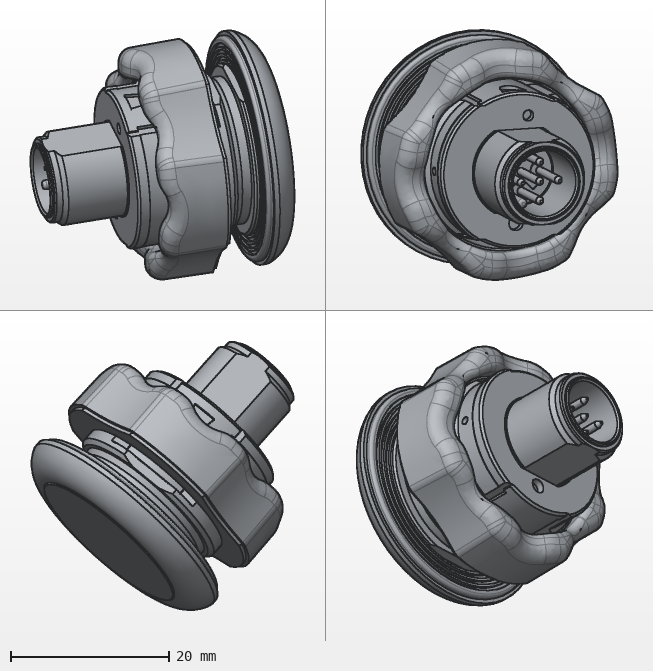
import cadquery as cq
import math


FLANGE_RADIUS = 15.0
CROWN_RADIUS = 10.7
CROWN_HEIGHT = 0.17
DOME_DEPTH = 3.05
DOME_MID_RADIUS = 13.8
DOME_MID_DEPTH = 1.2
FLANGE_DEPTH = 3.75
LOCATOR_RADIUS = 11.05
LOCATOR_DEPTH = 5.2
LOCATOR_CHAMFER = 0.3
NECK_RADIUS = 9.47
NECK_DEPTH = 6.4
NECK_FLARE_RADIUS = 9.75
COLLAR_DEPTH = 7.25
COLLAR_RADIUS = 10.92
COLLAR_CHAMFER = 0.55
THREAD_END_DEPTH = 15.5
PANEL_FLAT = 10.15
KEYWAY_DEPTH = 8.55
KEYWAY_FLAT = 8.6

BARREL_RADIUS = 10.3
BARREL_HEAD_RADIUS = 10.36
BARREL_HEAD_DEPTH = 18.8
BARREL_DEPTH = 20.35
BARREL_CHAMFER = 0.32
KEY_RADIUS = 10.05
KEY_HALF_WIDTH = 4.46
KEY_HEAD_HALF_WIDTH = 4.9

STEM_FOOT_RADIUS = 6.2
STEM_FOOT_LENGTH = 0.2
STEM_RADIUS = 6.02
STEM_FLAT = 5.3
STEM_CONE_DEPTH = 28.3
NOSE_DEPTH = 28.9
NOSE_RADIUS = 5.5
NOSE_END_DEPTH = 29.9
NOSE_CHAMFER = 0.2
TIP_RADIUS = 4.78
TIP_DEPTH = 30.3
TIP_CHAMFER = 0.18
SOCKET_RADIUS = 4.25
SOCKET_MOUTH_CHAMFER = 0.25
SOCKET_FLOOR_RADIUS = 4.16
SOCKET_FLOOR_DEPTH = 21.3
SOCKET_STEP = 0.2

PIN_RADIUS = 0.5
PIN_TIP_RADIUS = 0.2
PIN_TIP_LENGTH = 0.7
PIN_PITCH = 2.5
PIN_END_DEPTH = 29.0
CROSS_LENGTH = 5.7
CROSS_WIDTH = 1.1
CROSS_RECESS = 0.1
DIAGONAL_ANGLE = 45
CODING_RADIUS = 0.6
CODING_CENTER = 3.6
CODING_ANGLE = 225
CODING_END_DEPTH = 29.3
CODING_END_FILLET = 0.4

VENT_X, VENT_Z, VENT_RADIUS = 1.31, 6.98, 0.69
PLUG_X, PLUG_Z, PLUG_RADIUS = -0.34, -6.77, 0.95
BLIND_HOLE_LENGTH = 1.0
SIDE_HOLE_RADIUS = 0.5
SIDE_HOLE_DEPTH = 17.4
SIDE_HOLE_LENGTH = 0.8
SIDE_HOLE_TAPER = 20
ARROW_HALF_WIDTH = 1.6
ARROW_BACK_HALF_WIDTH = 1.25
ARROW_FRONT_DEPTH = 18.8
ARROW_LENGTH = 1.9
ARROW_RECESS = 0.5

SEAL_RADIUS = 14.5
SEAL_EDGE_FILLET = 0.45
SEAL_DEPTH = 4.55
SEAL_GROOVE_RADII = (11.65, 12.5, 13.35)
SEAL_GROOVE_WIDTH = 0.5
SEAL_GROOVE_HEIGHT = 0.4

NUT_RIM_DEPTH = 9.35
NUT_RIM_INSET = 0.5
NUT_BODY_DEPTH = 9.85
NUT_FRONT_DEPTH = 18.0
NUT_RADIUS = 15.0
NUT_FRONT_RADIUS = 14.85
NUT_FRONT_BORE_RADIUS = 11.2
NUT_OUTER_FILLET = 1.8
NUT_INNER_FILLET = 0.9
GRIP_ANGLE = 52
GRIP_COUNT = 4
GRIP_RADIUS = 21.0
GRIP_FLOOR = 13.5
GRIP_EDGE_FILLET = 1.5
WAVE_HALF_WIDTH = 4.2
GRIP_WAVE_HEIGHT = 0.9
RIM_WAVE_HEIGHT = 1.15
EDGE_MARGIN = 0.05


def disc(radius, start_depth, end_depth, x=0.0, z=0.0):
    """Cylinder along Y between two depths."""
    plane = cq.Workplane("XZ", origin=(x, -start_depth, z))
    return plane.circle(radius).extrude(end_depth - start_depth)


def block(half_width, half_height, start_depth, end_depth):
    """Box centred on the axis between two depths."""
    plane = cq.Workplane("XZ", origin=(0, -start_depth, 0))
    return plane.rect(2 * half_width, 2 * half_height).extrude(end_depth - start_depth)


def turned(profile):
    """Revolve an open (radius, -depth) outline that starts and ends on the axis."""
    return profile.close().revolve(360, (0, 0, 0), (0, 1, 0))


def flange_and_collar():
    collar_edge = COLLAR_RADIUS - COLLAR_CHAMFER
    thread_chamfer = COLLAR_RADIUS - BARREL_RADIUS
    dome = turned(
        cq.Workplane("XY")
        .lineTo(CROWN_RADIUS, 0)
        .lineTo(CROWN_RADIUS + CROWN_HEIGHT, -CROWN_HEIGHT)
        .threePointArc((DOME_MID_RADIUS, -DOME_MID_DEPTH), (FLANGE_RADIUS, -DOME_DEPTH))
        .lineTo(FLANGE_RADIUS, -FLANGE_DEPTH)
        .lineTo(0, -FLANGE_DEPTH)
    )
    stepped = turned(
        cq.Workplane("XY")
        .moveTo(0, -FLANGE_DEPTH)
        .lineTo(LOCATOR_RADIUS, -FLANGE_DEPTH)
        .lineTo(LOCATOR_RADIUS, LOCATOR_CHAMFER - LOCATOR_DEPTH)
        .lineTo(LOCATOR_RADIUS - LOCATOR_CHAMFER, -LOCATOR_DEPTH)
        .lineTo(NECK_RADIUS, -LOCATOR_DEPTH)
        .lineTo(NECK_RADIUS, -NECK_DEPTH)
        .lineTo(NECK_FLARE_RADIUS, -COLLAR_DEPTH)
        .lineTo(collar_edge, -COLLAR_DEPTH)
        .lineTo(COLLAR_RADIUS, -COLLAR_DEPTH - COLLAR_CHAMFER)
        .lineTo(COLLAR_RADIUS, -THREAD_END_DEPTH)
        .lineTo(BARREL_RADIUS, -THREAD_END_DEPTH - thread_chamfer)
        .lineTo(BARREL_RADIUS, -BARREL_HEAD_DEPTH)
        .lineTo(BARREL_HEAD_RADIUS, -BARREL_HEAD_DEPTH)
        .lineTo(BARREL_HEAD_RADIUS, BARREL_CHAMFER - BARREL_DEPTH)
        .lineTo(BARREL_HEAD_RADIUS - BARREL_CHAMFER, -BARREL_DEPTH)
        .lineTo(0, -BARREL_DEPTH)
    )
    flatted = stepped.intersect(block(FLANGE_RADIUS, PANEL_FLAT, FLANGE_DEPTH, KEYWAY_DEPTH))
    keyed = stepped.intersect(block(FLANGE_RADIUS, KEYWAY_FLAT, KEYWAY_DEPTH, BARREL_DEPTH))
    return dome.union(flatted).union(keyed)


def keys():
    """Two opposite keys, wider at the front end, as one bar through the barrel."""
    rail = disc(KEY_RADIUS, KEYWAY_DEPTH, BARREL_DEPTH).faces("<Y").chamfer(BARREL_CHAMFER)
    narrow = block(KEY_HALF_WIDTH, FLANGE_RADIUS, KEYWAY_DEPTH, BARREL_DEPTH)
    head = block(KEY_HEAD_HALF_WIDTH, FLANGE_RADIUS, BARREL_HEAD_DEPTH, BARREL_DEPTH)
    return rail.intersect(narrow.union(head))


def stem():
    body = turned(
        cq.Workplane("XY")
        .moveTo(0, -BARREL_DEPTH)
        .lineTo(STEM_FOOT_RADIUS, -BARREL_DEPTH)
        .lineTo(STEM_FOOT_RADIUS, -BARREL_DEPTH - STEM_FOOT_LENGTH)
        .lineTo(STEM_RADIUS, -BARREL_DEPTH - STEM_FOOT_LENGTH)
        .lineTo(STEM_RADIUS, -STEM_CONE_DEPTH)
        .lineTo(NOSE_RADIUS, -NOSE_DEPTH)
        .lineTo(NOSE_RADIUS, NOSE_CHAMFER - NOSE_END_DEPTH)
        .lineTo(NOSE_RADIUS - NOSE_CHAMFER, -NOSE_END_DEPTH)
        .lineTo(TIP_RADIUS, -NOSE_END_DEPTH)
        .lineTo(TIP_RADIUS, TIP_CHAMFER - TIP_DEPTH)
        .lineTo(TIP_RADIUS - TIP_CHAMFER, -TIP_DEPTH)
        .lineTo(0, -TIP_DEPTH)
    )
    return body.intersect(block(STEM_FOOT_RADIUS, STEM_FLAT, BARREL_DEPTH, TIP_DEPTH))


def socket():
    ledge_depth = SOCKET_FLOOR_DEPTH + SOCKET_STEP
    floor = disc(SOCKET_FLOOR_RADIUS, SOCKET_FLOOR_DEPTH, ledge_depth)
    bore = disc(SOCKET_RADIUS, ledge_depth, TIP_DEPTH)
    mouth = turned(
        cq.Workplane("XY")
        .moveTo(0, SOCKET_MOUTH_CHAMFER - TIP_DEPTH)
        .lineTo(SOCKET_RADIUS, SOCKET_MOUTH_CHAMFER - TIP_DEPTH)
        .lineTo(SOCKET_RADIUS + SOCKET_MOUTH_CHAMFER, -TIP_DEPTH)
        .lineTo(0, -TIP_DEPTH)
    )
    return bore.union(mouth).union(floor).union(coding_cross())


def coding_cross():
    """Shallow diagonal cross whose inner corners are rounded about the outer pins."""
    plane = cq.Workplane("XZ", origin=(0, CROSS_RECESS - SOCKET_FLOOR_DEPTH, 0))
    pin_offset = PIN_PITCH / math.sqrt(2)
    corner_radius = pin_offset - CROSS_WIDTH / 2
    corners = plane.rect(2 * pin_offset, 2 * pin_offset, forConstruction=True).vertices()
    hub = plane.rect(2 * pin_offset, 2 * pin_offset).extrude(CROSS_RECESS)
    hub = hub.cut(corners.circle(corner_radius).extrude(CROSS_RECESS))
    arms = (
        plane.rect(CROSS_LENGTH, CROSS_WIDTH).extrude(CROSS_RECESS)
        .union(plane.rect(CROSS_WIDTH, CROSS_LENGTH).extrude(CROSS_RECESS))
    )
    return hub.union(arms).rotate((0, 0, 0), (0, 1, 0), DIAGONAL_ANGLE)


def contact_pin(x, z):
    shank = disc(PIN_RADIUS, SOCKET_FLOOR_DEPTH - PIN_RADIUS, PIN_END_DEPTH, x, z)
    return shank.faces("<Y").chamfer(PIN_TIP_LENGTH, PIN_RADIUS - PIN_TIP_RADIUS)


def coding_rib():
    angle = math.radians(CODING_ANGLE)
    x = CODING_CENTER * math.cos(angle)
    z = CODING_CENTER * math.sin(angle)
    rib = disc(CODING_RADIUS, SOCKET_FLOOR_DEPTH - CROSS_RECESS, CODING_END_DEPTH, x, z)
    rib = rib.faces("<Y").edges().fillet(CODING_END_FILLET)
    return rib.intersect(disc(TIP_RADIUS - TIP_CHAMFER, SOCKET_FLOOR_DEPTH - CROSS_RECESS, TIP_DEPTH))


def arrow_pocket():
    """Shallow finger pocket in the upper key, square in front and round at the back."""
    back = ARROW_LENGTH - ARROW_FRONT_DEPTH
    return (
        cq.Workplane("XY", origin=(0, 0, KEY_RADIUS - ARROW_RECESS))
        .moveTo(-ARROW_HALF_WIDTH, -ARROW_FRONT_DEPTH)
        .lineTo(ARROW_HALF_WIDTH, -ARROW_FRONT_DEPTH)
        .lineTo(ARROW_BACK_HALF_WIDTH, back)
        .threePointArc((0, back + ARROW_BACK_HALF_WIDTH), (-ARROW_BACK_HALF_WIDTH, back))
        .close()
        .extrude(2 * ARROW_RECESS)
    )


def housing_body():
    body = flange_and_collar().union(keys()).union(stem()).cut(socket())
    for x, z in ((0, 0), (PIN_PITCH, 0), (-PIN_PITCH, 0), (0, PIN_PITCH), (0, -PIN_PITCH)):
        body = body.union(contact_pin(x, z))
    body = body.union(coding_rib())
    hole_start = BARREL_DEPTH - BLIND_HOLE_LENGTH
    body = body.cut(disc(VENT_RADIUS, hole_start, BARREL_DEPTH, VENT_X, VENT_Z))
    body = body.cut(disc(PLUG_RADIUS, hole_start, BARREL_DEPTH, PLUG_X, PLUG_Z))
    side_hole = (
        cq.Workplane("YZ", origin=(-BARREL_RADIUS, -SIDE_HOLE_DEPTH, 0))
        .circle(SIDE_HOLE_RADIUS)
        .extrude(SIDE_HOLE_LENGTH, taper=SIDE_HOLE_TAPER)
    )
    return body.cut(side_hole).cut(arrow_pocket())


def seal_ring():
    ring = disc(SEAL_RADIUS, FLANGE_DEPTH, SEAL_DEPTH)
    ring = ring.faces("<Y").edges().fillet(SEAL_EDGE_FILLET)
    ring = ring.cut(disc(LOCATOR_RADIUS, FLANGE_DEPTH, SEAL_DEPTH))
    for radius in SEAL_GROOVE_RADII:
        groove = (
            cq.Workplane("XZ", origin=(0, -SEAL_DEPTH, 0))
            .circle(radius + SEAL_GROOVE_WIDTH / 2)
            .circle(radius - SEAL_GROOVE_WIDTH / 2)
            .extrude(-SEAL_GROOVE_HEIGHT)
        )
        ring = ring.cut(groove)
    return ring


def turned_to(shape, angle):
    """Turn a shape lying on +X so that it lies at an angle from +X toward +Z."""
    return shape.rotate((0, 0, 0), (0, 1, 0), -angle)


def cut_finger_grips(body, inset):
    """Cut the cylindrical finger grips, moved toward the axis by an inset."""
    grip = disc(GRIP_RADIUS, NUT_RIM_DEPTH, NUT_FRONT_DEPTH, GRIP_FLOOR + GRIP_RADIUS - inset)
    for index in range(GRIP_COUNT):
        body = body.cut(turned_to(grip, GRIP_ANGLE + index * 360 / GRIP_COUNT))
    return body


def wave_cutter(height):
    """Radial trough for the nut's front edge, a valley blending into the lobes beside it."""
    quarter = WAVE_HALF_WIDTH / 2
    half_height = height / 2
    bend = (quarter**2 + half_height**2) / height
    half_angle = math.atan2(half_height, quarter)
    shift = bend * math.sin(half_angle)
    drop = bend * (1 - math.cos(half_angle))
    front = -NUT_FRONT_DEPTH
    floor = front + height
    return (
        cq.Workplane("YZ")
        .moveTo(front, -WAVE_HALF_WIDTH)
        .threePointArc((front + drop, shift - WAVE_HALF_WIDTH), (front + half_height, -quarter))
        .threePointArc((floor, 0), (front + half_height, quarter))
        .threePointArc((front + drop, WAVE_HALF_WIDTH - shift), (front, WAVE_HALF_WIDTH))
        .close()
        .extrude(NUT_RADIUS + NUT_RIM_INSET)
    )


def axis_distances(edge):
    """Distances from the Y axis to points along an edge."""
    points = edge.positions((0, 0.25, 0.5, 0.75, 1))
    return [math.hypot(point.x, point.z) for point in points]


def front_edges(body, is_outer):
    """Edges of the wavy front of the nut, round its outside or round its bore."""
    split_radius = (GRIP_FLOOR + NUT_FRONT_BORE_RADIUS) / 2
    valley_limit = RIM_WAVE_HEIGHT - NUT_FRONT_DEPTH + EDGE_MARGIN
    chosen = []
    for edge in body.edges().vals():
        distances = axis_distances(edge)
        on_front = edge.BoundingBox().ymax < valley_limit
        at_outside = min(distances) > split_radius
        at_bore = max(distances) < NUT_FRONT_BORE_RADIUS + EDGE_MARGIN
        if on_front and (at_outside if is_outer else at_bore):
            chosen.append(edge)
    return chosen


def nut_blank():
    """Tapered body with its finger grips."""
    body = turned(
        cq.Workplane("XY")
        .moveTo(0, -NUT_BODY_DEPTH)
        .lineTo(NUT_RADIUS, -NUT_BODY_DEPTH)
        .lineTo(NUT_FRONT_RADIUS, -NUT_FRONT_DEPTH)
        .lineTo(0, -NUT_FRONT_DEPTH)
    )
    body = cut_finger_grips(body, 0)
    mid_depth = (NUT_BODY_DEPTH + NUT_FRONT_DEPTH) / 2
    grip_edges = cq.selectors.BoxSelector(
        (-NUT_RADIUS, EDGE_MARGIN - mid_depth, -NUT_RADIUS),
        (NUT_RADIUS, -EDGE_MARGIN - mid_depth, NUT_RADIUS),
    )
    return body.edges(grip_edges).fillet(GRIP_EDGE_FILLET)


def hand_nut():
    body = nut_blank().cut(disc(NUT_FRONT_BORE_RADIUS, THREAD_END_DEPTH, NUT_FRONT_DEPTH))
    grip_spacing = 360 / GRIP_COUNT
    for index in range(GRIP_COUNT):
        angle = GRIP_ANGLE + index * grip_spacing
        body = body.cut(turned_to(wave_cutter(GRIP_WAVE_HEIGHT), angle))
        body = body.cut(turned_to(wave_cutter(RIM_WAVE_HEIGHT), angle + grip_spacing / 2))
    body = body.newObject(front_edges(body, True)).fillet(NUT_OUTER_FILLET)
    body = body.newObject(front_edges(body, False)).fillet(NUT_INNER_FILLET)
    rim = disc(NUT_RADIUS - NUT_RIM_INSET, NUT_RIM_DEPTH, NUT_BODY_DEPTH)
    body = body.union(cut_finger_grips(rim, NUT_RIM_INSET))
    return body.cut(disc(COLLAR_RADIUS, NUT_RIM_DEPTH, THREAD_END_DEPTH))


housing = housing_body()
seal = seal_ring()
nut = hand_nut()
result = cq.Compound.makeCompound([body.solids().val() for body in (housing, seal, nut)])